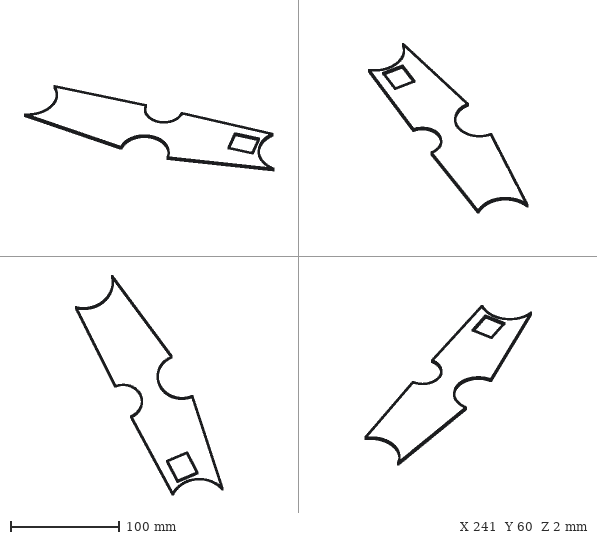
import cadquery as cq

length = 241.0
width = 60.0
thickness = 2.0

upper_notch_radius = 17.4
lower_notch_radius = 22.5

tip_x = length / 2
tip_y = 15.0
upper_corner_x = 105.5
upper_corner_y = 58.8
end_arc_x = 99.0
end_arc_y = 41.2

window_left = 72.3
window_length = 23.1
window_bottom = 29.0
window_width = 20.2


def make_plate():
    """Plate outline, counter-clockwise from the left side of the lower notch."""
    return (
        cq.Workplane("XY")
        .moveTo(-lower_notch_radius, 0)
        .threePointArc((0, lower_notch_radius), (lower_notch_radius, 0))
        .lineTo(tip_x, tip_y)
        .threePointArc((end_arc_x, end_arc_y), (upper_corner_x, upper_corner_y))
        .lineTo(upper_notch_radius, width)
        .threePointArc((0, width - upper_notch_radius), (-upper_notch_radius, width))
        .lineTo(-upper_corner_x, upper_corner_y)
        .threePointArc((-end_arc_x, end_arc_y), (-tip_x, tip_y))
        .close()
        .extrude(thickness)
    )


def make_window():
    """Block that cuts the rectangular window through the plate."""
    return (
        cq.Workplane("XY")
        .box(window_length, window_width, thickness, centered=False)
        .translate((window_left, window_bottom, 0))
    )


result = make_plate().cut(make_window())